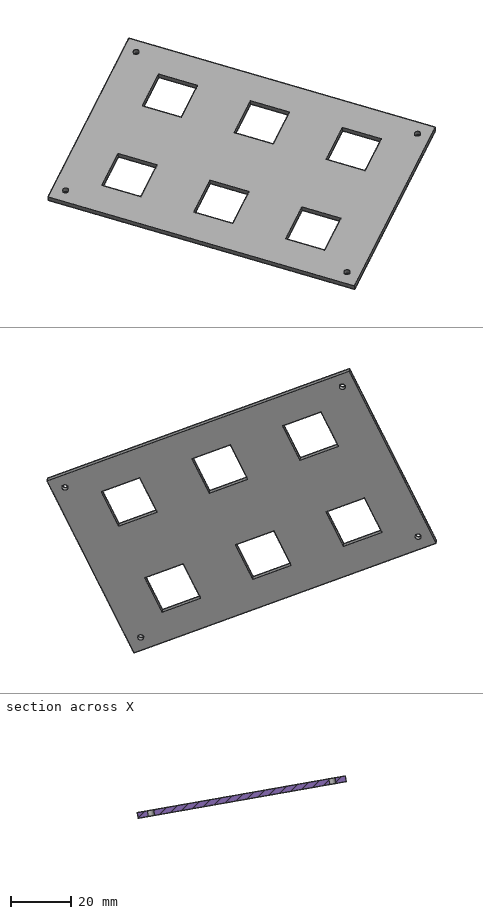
import cadquery as cq

plate_width = 110.0
plate_length = 70.0
plate_thickness = 2.0
tilt_angle = 10.0

cutout_size = 14.0
cutout_columns = 3
cutout_rows = 2
column_pitch = 33.0
row_pitch = plate_length / 2

hole_diameter = 2.0
hole_inset = 4.5
hole_spacing_x = plate_width - 2 * hole_inset
hole_spacing_y = plate_length - 2 * hole_inset

plate = cq.Workplane("XY").box(plate_width, plate_length, plate_thickness)

plate = (
    plate.faces(">Z").workplane()
    .rarray(column_pitch, row_pitch, cutout_columns, cutout_rows)
    .rect(cutout_size, cutout_size)
    .cutThruAll()
)

plate = (
    plate.faces(">Z").workplane()
    .rarray(hole_spacing_x, hole_spacing_y, 2, 2)
    .hole(hole_diameter)
)

result = plate.rotate((0, 0, 0), (1, 0, 0), tilt_angle)